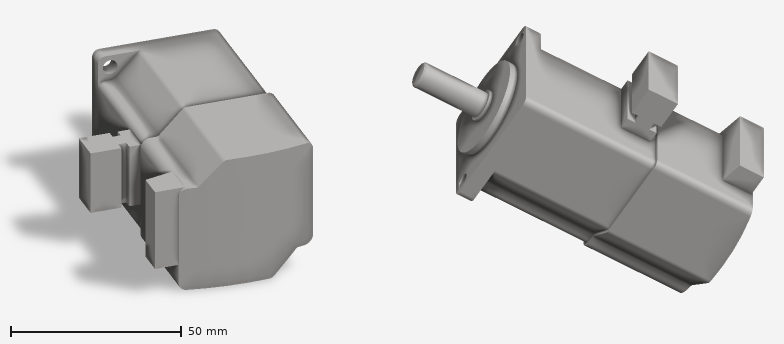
import cadquery as cq

COLLAR_X = 21.4
PILOT_X = 22.5
FLANGE_X = 25.0
FLANGE_LENGTH = 5.0
COVER_X = 69.3
REAR_X = 104.5

SHAFT_DIAMETER = 8.0
SHAFT_CHAMFER = 0.5
COLLAR_DIAMETER = 10.0
PILOT_DIAMETER = 30.0

MOTOR_WIDTH = 40.0
COVER_WIDTH = 42.0
COVER_STEP = (COVER_WIDTH - MOTOR_WIDTH) / 2
CORNER_RADIUS = 2.2
MOTOR_LEDGE_Z = 11.8
MOTOR_LEDGE_RADIUS = 2.0
COVER_LEDGE_RADIUS = MOTOR_LEDGE_RADIUS + COVER_STEP
MOTOR_SLOPE_SUM = 27.0
COVER_SLOPE_SUM = 28.4
SLOPE_TOP_RADIUS = 2.0
MOTOR_SLOPE_FOOT_RADIUS = 2.0
COVER_SLOPE_FOOT_RADIUS = 1.0

HOLE_DIAMETER = 4.5
HOLE_OFFSET = 16.2

REAR_RADIUS = 89.9

MOTOR_PLUG_X = 57.4
MOTOR_PLUG_LENGTH = 10.0
MOTOR_PLUG_HEIGHT = 19.9
MOTOR_PLUG_TIP_Y = -36.0
GROOVE_Y = -25.1
GROOVE_WIDTH = 2.5
GROOVE_DEPTH = 2.5

COVER_PLUG_ROOT_Y = -19.0
COVER_PLUG_TIP_Y = -28.2
COVER_PLUG_ROOT_X = 91.1
COVER_PLUG_TIP_X = 93.3
COVER_PLUG_END_X = 101.5


def cylinder(start_x, end_x, diameter):
    return cq.Workplane("YZ", origin=(start_x, 0, 0)).circle(diameter / 2).extrude(end_x - start_x)


def fillet_lengthwise(body, points, mid_x, radius):
    """Round the edges along X that pass through the given (Y, Z) points, at both half-turn positions."""
    for y, z in points:
        for turn in (1, -1):
            place = (mid_x, turn * y, turn * z)
            body = body.edges(cq.selectors.NearestToPointSelector(place)).fillet(radius)
    return body


def relieved_prism(start_x, end_x, width, ledge_z, slope_sum, ledge_radius, foot_radius):
    """Square bar whose -Y+Z and +Y-Z corners drop down a 45 degree slope to a ledge."""
    half = width / 2
    slope_top = (half - slope_sum, half)
    slope_foot = (ledge_z - slope_sum, ledge_z)
    ledge_edge = (-half, ledge_z)
    square_corner = (half, half)
    half_outline = [ledge_edge, slope_foot, slope_top, square_corner]
    opposite = [(-y, -z) for y, z in half_outline]
    body = (
        cq.Workplane("YZ", origin=(start_x, 0, 0))
        .polyline(half_outline + opposite)
        .close()
        .extrude(end_x - start_x)
    )
    mid_x = (start_x + end_x) / 2
    body = fillet_lengthwise(body, [square_corner], mid_x, CORNER_RADIUS)
    body = fillet_lengthwise(body, [slope_top], mid_x, SLOPE_TOP_RADIUS)
    body = fillet_lengthwise(body, [slope_foot], mid_x, foot_radius)
    return fillet_lengthwise(body, [ledge_edge], mid_x, ledge_radius)


def make_flange():
    flange = (
        cq.Workplane("YZ", origin=(FLANGE_X, 0, 0))
        .rect(MOTOR_WIDTH, MOTOR_WIDTH)
        .extrude(FLANGE_LENGTH)
        .edges("|X")
        .fillet(CORNER_RADIUS)
    )
    holes = (
        cq.Workplane("YZ", origin=(FLANGE_X, 0, 0))
        .pushPoints([(-HOLE_OFFSET, HOLE_OFFSET), (HOLE_OFFSET, -HOLE_OFFSET)])
        .circle(HOLE_DIAMETER / 2)
        .extrude(FLANGE_LENGTH)
    )
    return flange.cut(holes)


def make_motor_plug():
    """Rectangular plug on the -Y face with a groove down each side."""
    root_y = -MOTOR_WIDTH / 2
    center_x = MOTOR_PLUG_X + MOTOR_PLUG_LENGTH / 2
    plug = cq.Workplane("XY").box(MOTOR_PLUG_LENGTH, root_y - MOTOR_PLUG_TIP_Y, MOTOR_PLUG_HEIGHT)
    plug = plug.translate((center_x, (root_y + MOTOR_PLUG_TIP_Y) / 2, 0))
    for side_x in (MOTOR_PLUG_X, MOTOR_PLUG_X + MOTOR_PLUG_LENGTH):
        groove = cq.Workplane("XY").box(2 * GROOVE_DEPTH, GROOVE_WIDTH, MOTOR_PLUG_HEIGHT)
        plug = plug.cut(groove.translate((side_x, GROOVE_Y, 0)))
    return plug


def make_motor():
    shaft = cylinder(0, FLANGE_X, SHAFT_DIAMETER).faces("<X").chamfer(SHAFT_CHAMFER)
    collar = cylinder(COLLAR_X, FLANGE_X, COLLAR_DIAMETER)
    pilot = cylinder(PILOT_X, FLANGE_X, PILOT_DIAMETER)
    housing = relieved_prism(
        FLANGE_X + FLANGE_LENGTH, COVER_X, MOTOR_WIDTH, MOTOR_LEDGE_Z,
        MOTOR_SLOPE_SUM, MOTOR_LEDGE_RADIUS, MOTOR_SLOPE_FOOT_RADIUS,
    )
    front = make_flange().union(pilot).union(collar).union(shaft)
    return front.union(housing).union(make_motor_plug())


def make_cover():
    ledge_z = MOTOR_LEDGE_Z + COVER_STEP
    shell = relieved_prism(
        COVER_X, REAR_X, COVER_WIDTH, ledge_z,
        COVER_SLOPE_SUM, COVER_LEDGE_RADIUS, COVER_SLOPE_FOOT_RADIUS,
    )
    rear_curve = (
        cq.Workplane("XY", origin=(REAR_X - REAR_RADIUS, 0, -COVER_WIDTH / 2))
        .circle(REAR_RADIUS)
        .extrude(COVER_WIDTH)
    )
    plug_outline = [
        (COVER_PLUG_ROOT_X, COVER_PLUG_ROOT_Y),
        (COVER_PLUG_TIP_X, COVER_PLUG_TIP_Y),
        (COVER_PLUG_END_X, COVER_PLUG_TIP_Y),
        (COVER_PLUG_END_X, COVER_PLUG_ROOT_Y),
    ]
    plug = (
        cq.Workplane("XY", origin=(0, 0, -ledge_z))
        .polyline(plug_outline)
        .close()
        .extrude(2 * ledge_z)
    )
    return shell.intersect(rear_curve).union(plug)


motor = make_motor()
cover = make_cover()
result = cq.Compound.makeCompound([motor.val(), cover.val()])